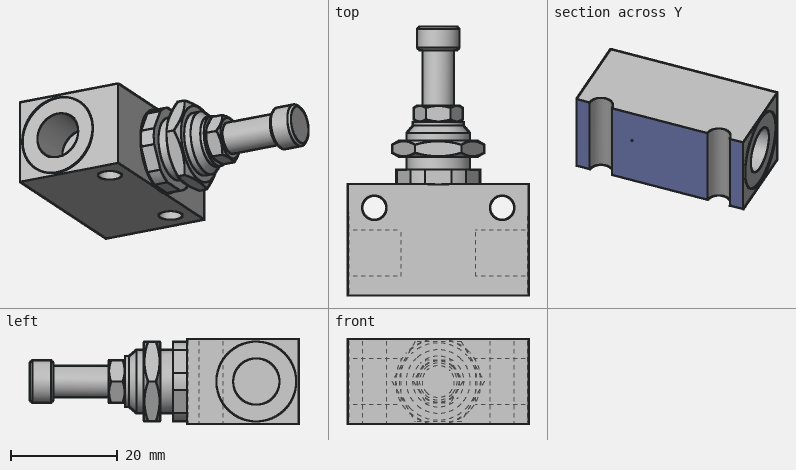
import cadquery as cq
import math

BLOCK_LENGTH = 34.0
BLOCK_DEPTH = 21.0
BLOCK_HEIGHT = 16.0

MOUNT_DIAMETER = 4.5
MOUNT_SPACING = 24.0
MOUNT_Y = 16.5

PORT_Y = 8.0
PORT_DIAMETER = 8.7
PORT_DEPTH = 10.0
PORT_FACE_DIAMETER = 15.0
PORT_FACE_DEPTH = 0.2

SEAT_DIAMETER = 16.08
SEAT_DEPTH = 0.15

FLANGE_FLATS = 15.0
FLANGE_DIAMETER = 15.8
FLANGE_END = 2.65

BODY_DIAMETER = 12.0
BODY_END = 9.5
COLLAR_DIAMETER = 9.6
COLLAR_START = 10.9
COLLAR_END = 11.65

PANEL_NUT_FLATS = 15.0
PANEL_NUT_START = 5.03
PANEL_NUT_THICKNESS = 3.1
LOCK_NUT_FLATS = 8.0
LOCK_NUT_START = COLLAR_END
LOCK_NUT_THICKNESS = 3.05
NUT_FACE_RATIO = 0.97
NUT_BEVEL_ANGLE = 30.0

STEM_DIAMETER = 6.0
KNOB_DIAMETER = 8.0
KNOB_LENGTH = 4.5
KNOB_CHAMFER = 0.5
INSERT_LENGTH = 29.56


def along_y(distance):
    """Workplane facing +Y on the insert axis, a given distance behind the back face."""
    origin = (0, BLOCK_DEPTH + distance, 0)
    return cq.Workplane(cq.Plane(origin=origin, xDir=(1, 0, 0), normal=(0, 1, 0)))


def cylinder(diameter, start, end):
    return along_y(start).circle(diameter / 2).extrude(end - start)


def across_corners(flats):
    return flats / math.cos(math.radians(30))


def hexagon(flats, start, end):
    """Hexagonal prism with two flats facing +Z and -Z."""
    return along_y(start).polygon(6, across_corners(flats)).extrude(end - start)


def make_block():
    """Block with mounting holes, a recessed port on each end and the insert seat."""
    block = cq.Workplane("XY").box(BLOCK_LENGTH, BLOCK_DEPTH, BLOCK_HEIGHT, centered=(True, False, True))
    mounts = (
        cq.Workplane("XY", origin=(0, MOUNT_Y, -BLOCK_HEIGHT / 2))
        .pushPoints([(-MOUNT_SPACING / 2, 0), (MOUNT_SPACING / 2, 0)])
        .circle(MOUNT_DIAMETER / 2)
        .extrude(BLOCK_HEIGHT)
    )
    block = block.cut(mounts)
    for side in (-1, 1):
        end_face = cq.Workplane("YZ", origin=(side * BLOCK_LENGTH / 2, PORT_Y, 0))
        block = block.cut(end_face.circle(PORT_DIAMETER / 2).extrude(-side * PORT_DEPTH))
        block = block.cut(end_face.circle(PORT_FACE_DIAMETER / 2).extrude(-side * PORT_FACE_DEPTH))
    return block.cut(cylinder(SEAT_DIAMETER, -SEAT_DEPTH, 0))


def make_flange():
    """Hexagonal flange with its corners turned down to a cylinder."""
    prism = hexagon(FLANGE_FLATS, -SEAT_DEPTH, FLANGE_END)
    return prism.intersect(cylinder(FLANGE_DIAMETER, -SEAT_DEPTH, FLANGE_END))


def make_body():
    """Barrel, conical shoulder and collar that carry the panel nut."""
    barrel = cylinder(BODY_DIAMETER, FLANGE_END, BODY_END)
    shoulder = (
        along_y(BODY_END)
        .circle(BODY_DIAMETER / 2)
        .workplane(offset=COLLAR_START - BODY_END)
        .circle(COLLAR_DIAMETER / 2)
        .loft(ruled=True)
    )
    collar = cylinder(COLLAR_DIAMETER, COLLAR_START, COLLAR_END)
    return barrel.union(shoulder).union(collar)


def make_nut(flats, start, thickness):
    """Hexagonal nut with its corners bevelled at both ends."""
    face_radius = NUT_FACE_RATIO * flats / 2
    corner_radius = across_corners(flats) / 2
    bevel = (corner_radius - face_radius) * math.tan(math.radians(NUT_BEVEL_ANGLE))
    near = BLOCK_DEPTH + start
    far = near + thickness
    envelope = (
        cq.Workplane("XY")
        .polyline([
            (0, near),
            (face_radius, near),
            (corner_radius, near + bevel),
            (corner_radius, far - bevel),
            (face_radius, far),
            (0, far),
        ])
        .close()
        .revolve(360, (0, 0, 0), (0, 1, 0))
    )
    return hexagon(flats, start, start + thickness).intersect(envelope)


def make_stem():
    """Adjusting rod with a chamfered knob at its free end."""
    knob_start = INSERT_LENGTH - KNOB_LENGTH
    rod = cylinder(STEM_DIAMETER, COLLAR_END, knob_start)
    knob = cylinder(KNOB_DIAMETER, knob_start, INSERT_LENGTH).edges("%CIRCLE").chamfer(KNOB_CHAMFER)
    return rod.union(knob)


result = (
    make_block()
    .union(make_flange())
    .union(make_body())
    .union(make_nut(PANEL_NUT_FLATS, PANEL_NUT_START, PANEL_NUT_THICKNESS))
    .union(make_nut(LOCK_NUT_FLATS, LOCK_NUT_START, LOCK_NUT_THICKNESS))
    .union(make_stem())
)